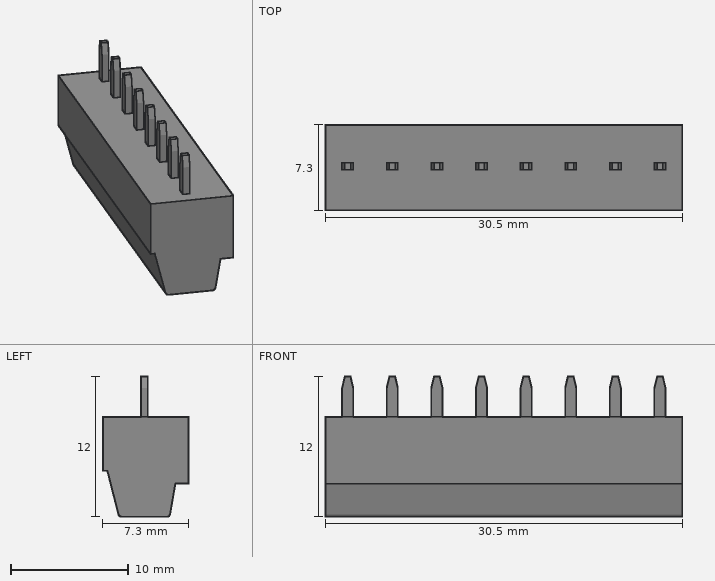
import cadquery as cq

length = 30.48
depth = 7.3
total_height = 12.0
pin_height = 3.47
housing_height = total_height - pin_height

rear_ledge_height = 3.93
rear_ledge_depth = 0.37
front_ledge_height = 2.83
front_ledge_depth = 1.13
nose_rear_y = 2.3
nose_front_y = -2.05
nose_edge_radius = 0.3

pin_count = 8
pin_pitch = length / pin_count
pin_width = 0.98
pin_thickness = 0.6
pin_tip_width = 0.5
pin_taper_height = 1.0
pin_row_y = 0.12


def make_housing():
    front_y = -depth / 2
    rear_y = depth / 2
    profile = [
        (nose_front_y, 0),
        (nose_rear_y, 0),
        (rear_y - rear_ledge_depth, rear_ledge_height),
        (rear_y, rear_ledge_height),
        (rear_y, housing_height),
        (front_y, housing_height),
        (front_y, front_ledge_height),
        (front_y + front_ledge_depth, front_ledge_height),
    ]
    body = cq.Workplane("YZ").polyline(profile).close().extrude(length / 2, both=True)
    return body.faces("<Z").edges("|X").fillet(nose_edge_radius)


def make_pin(center_x):
    shoulder_z = total_height - pin_taper_height
    outline = [
        (center_x - pin_width / 2, housing_height),
        (center_x + pin_width / 2, housing_height),
        (center_x + pin_width / 2, shoulder_z),
        (center_x + pin_tip_width / 2, total_height),
        (center_x - pin_tip_width / 2, total_height),
        (center_x - pin_width / 2, shoulder_z),
    ]
    blade = cq.Workplane("XZ").polyline(outline).close().extrude(pin_thickness / 2, both=True)
    return blade.translate((0, pin_row_y, 0))


result = make_housing()
for index in range(pin_count):
    pin_x = (index - (pin_count - 1) / 2) * pin_pitch
    result = result.union(make_pin(pin_x))